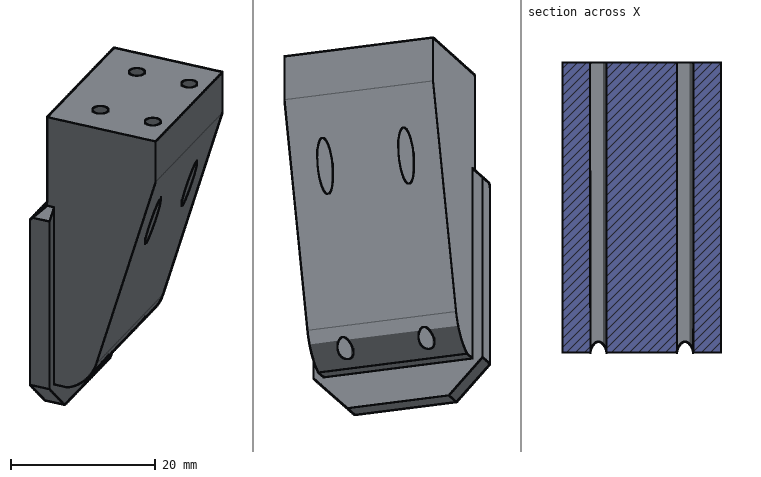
import cadquery as cq

HEIGHT = 47.0
DEPTH = 18.5

PLATE_WIDTH = 25.0
PLATE_THICKNESS = 3.0
PLATE_TOP = 33.0
TOP_BEVEL = 1.95
BOTTOM_CORNER = 5.0

BLOCK_WIDTH = 22.0
BLOCK_FRONT = TOP_BEVEL
BLOCK_BOTTOM = BOTTOM_CORNER
SLOPE_TOP = 40.6
CURVE_TOP_X = 9.45
CURVE_TOP_Z = 9.75
CURVE_BOTTOM_X = 5.1

HOLE_DIAMETER = 2.2
HOLE_FRONT_X = 7.75
HOLE_SPACING_X = 8.0
HOLE_SPACING_Y = 12.0


def make_plate():
    """Plate with cut-off corners and a bevel along its top front edge."""
    half_width = PLATE_WIDTH / 2
    top_corner = (PLATE_WIDTH - BLOCK_WIDTH) / 2
    plate = (
        cq.Workplane("YZ")
        .moveTo(-half_width + BOTTOM_CORNER, 0)
        .lineTo(half_width - BOTTOM_CORNER, 0)
        .lineTo(half_width, BOTTOM_CORNER)
        .lineTo(half_width, PLATE_TOP - top_corner)
        .lineTo(half_width - top_corner, PLATE_TOP)
        .lineTo(-half_width + top_corner, PLATE_TOP)
        .lineTo(-half_width, PLATE_TOP - top_corner)
        .lineTo(-half_width, BOTTOM_CORNER)
        .close()
        .extrude(PLATE_THICKNESS)
    )
    bevel = (
        cq.Workplane("XZ")
        .moveTo(0, PLATE_TOP - TOP_BEVEL)
        .lineTo(TOP_BEVEL, PLATE_TOP)
        .lineTo(0, PLATE_TOP)
        .close()
        .extrude(half_width, both=True)
    )
    return plate.cut(bevel)


def make_block():
    """Block with a sloping back that curves in to a short flat bottom."""
    return (
        cq.Workplane("XZ")
        .moveTo(0, BLOCK_BOTTOM)
        .lineTo(0, PLATE_TOP - TOP_BEVEL)
        .lineTo(BLOCK_FRONT, PLATE_TOP)
        .lineTo(BLOCK_FRONT, HEIGHT)
        .lineTo(DEPTH, HEIGHT)
        .lineTo(DEPTH, SLOPE_TOP)
        .lineTo(CURVE_TOP_X, CURVE_TOP_Z)
        .tangentArcPoint((CURVE_BOTTOM_X, BLOCK_BOTTOM), relative=False)
        .close()
        .extrude(BLOCK_WIDTH / 2, both=True)
    )


def make_holes():
    """Four vertical holes through the full height of the block."""
    return (
        cq.Workplane("XY")
        .center(HOLE_FRONT_X + HOLE_SPACING_X / 2, 0)
        .rect(HOLE_SPACING_X, HOLE_SPACING_Y, forConstruction=True)
        .vertices()
        .circle(HOLE_DIAMETER / 2)
        .extrude(HEIGHT)
    )


result = make_plate().union(make_block()).cut(make_holes())